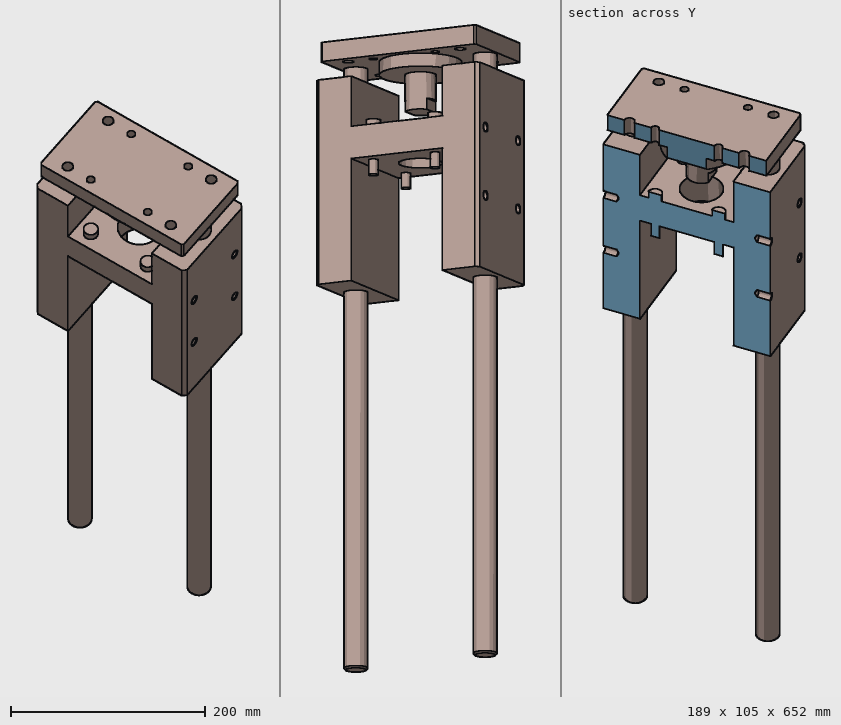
import cadquery as cq
import math

TOTAL_HEIGHT = 652.0
HOLE_PITCH = 72.0
HALF_PITCH = HOLE_PITCH / 2

PLATE_LENGTH = 180.0
PLATE_WIDTH = 100.0
PLATE_THICKNESS = 20.0
PLATE_CHAMFER = 2.0
PLATE_INNER_HOLE_DIAMETER = 8.5
PLATE_OUTER_HOLE_DIAMETER = 11.0
PLATE_OUTER_HOLE_SPACING = 130.0
ROD_DIAMETER = 25.0
ROD_SPACING = 150.0
ROD_CHAMFER = 2.0
FLANGE_DIAMETER = 85.0
FLANGE_THICKNESS = 14.0
COLLAR_DIAMETER = 32.0
COLLAR_LENGTH = 39.0
COLLAR_FLATS_WIDTH = 25.0
COLLAR_FLATS_LENGTH = 12.0

HOUSING_LENGTH = 189.0
HOUSING_WIDTH = 105.0
HOUSING_HEIGHT = 215.0
HOUSING_TOP = -40.0
HOUSING_CHAMFER = 4.0
LEG_GAP = 105.5
WEB_TOP = -92.5
WEB_THICKNESS = 34.0
WEB_BORE_DIAMETER = 45.0
SCREW_HEAD_DIAMETER = 15.0
SCREW_HEAD_HEIGHT = 8.0
SCREW_SHANK_DIAMETER = 10.0
SCREW_PROJECTION = 15.5
SIDE_HOLE_DIAMETER = 8.5
SIDE_HOLE_MOUTH_DIAMETER = 10.0
SIDE_HOLE_DEPTH = 15.0
SIDE_HOLE_TOP = -105.5
DRILL_POINT_ANGLE = 118.0

HOUSING_BOTTOM = HOUSING_TOP - HOUSING_HEIGHT
WEB_BOTTOM = WEB_TOP - WEB_THICKNESS
ROD_POINTS = [(-ROD_SPACING / 2, 0), (ROD_SPACING / 2, 0)]


def cylinders(points, diameter, top, bottom):
    """Vertical cylinders at the XY points, from top down to bottom."""
    base = cq.Workplane().workplane(offset=bottom)
    return base.pushPoints(points).circle(diameter / 2).extrude(top - bottom)


def rectangle_points(length, width):
    """The four corners of a centred rectangle."""
    return [(x * length / 2, y * width / 2) for x in (-1, 1) for y in (-1, 1)]


def block(length, width, top, bottom):
    """A centred block between two heights."""
    return cq.Workplane().workplane(offset=bottom).rect(length, width).extrude(top - bottom)


def make_collar(top):
    """Round collar whose lower end is narrowed by two flats facing -X and +X."""
    bottom = top - COLLAR_LENGTH
    flats_top = bottom + COLLAR_FLATS_LENGTH
    collar = cylinders([(0, 0)], COLLAR_DIAMETER, top, bottom)
    above_flats = block(COLLAR_DIAMETER, COLLAR_DIAMETER, top, flats_top)
    between_flats = block(COLLAR_FLATS_WIDTH, COLLAR_DIAMETER, flats_top, bottom)
    return collar.intersect(above_flats.union(between_flats))


def make_slide():
    """End plate with the guide rods and the piston coupling below it."""
    plate = block(PLATE_LENGTH, PLATE_WIDTH, 0, -PLATE_THICKNESS).edges("|Z").chamfer(PLATE_CHAMFER)
    inner_points = rectangle_points(HOLE_PITCH, HOLE_PITCH)
    outer_points = rectangle_points(PLATE_OUTER_HOLE_SPACING, HOLE_PITCH)
    plate = plate.cut(cylinders(inner_points, PLATE_INNER_HOLE_DIAMETER, 0, -PLATE_THICKNESS))
    plate = plate.cut(cylinders(outer_points, PLATE_OUTER_HOLE_DIAMETER, 0, -PLATE_THICKNESS))

    rods = cylinders(ROD_POINTS, ROD_DIAMETER, -PLATE_THICKNESS, -TOTAL_HEIGHT)
    slide = plate.union(rods.faces("<Z").chamfer(ROD_CHAMFER))

    flange_bottom = -PLATE_THICKNESS - FLANGE_THICKNESS
    flange = cylinders([(0, 0)], FLANGE_DIAMETER, -PLATE_THICKNESS, flange_bottom)
    return slide.union(flange).union(make_collar(flange_bottom))


def side_hole(side, y, z):
    """A blind drilled hole with a chamfered mouth in the left (side = -1) or right (side = 1) face."""
    radius = SIDE_HOLE_DIAMETER / 2
    point_length = radius / math.tan(math.radians(DRILL_POINT_ANGLE / 2))
    entry = cq.Vector(side * HOUSING_LENGTH / 2, y, z)
    inward = cq.Vector(-side, 0, 0)
    bore = cq.Solid.makeCylinder(radius, SIDE_HOLE_DEPTH, entry, inward)
    point = cq.Solid.makeCone(radius, 0, point_length, entry + inward * SIDE_HOLE_DEPTH, inward)
    mouth_radius = SIDE_HOLE_MOUTH_DIAMETER / 2
    mouth = cq.Solid.makeCone(mouth_radius, radius, mouth_radius - radius, entry, inward)
    return bore.fuse(point, mouth)


def make_housing():
    """H-shaped block with guide bores, a piston bore, side holes and web screws."""
    housing = block(HOUSING_LENGTH, HOUSING_WIDTH, HOUSING_TOP, HOUSING_BOTTOM)
    housing = housing.edges("|Z").chamfer(HOUSING_CHAMFER)
    housing = housing.cut(block(LEG_GAP, HOUSING_WIDTH, HOUSING_TOP, WEB_TOP))
    housing = housing.cut(block(LEG_GAP, HOUSING_WIDTH, WEB_BOTTOM, HOUSING_BOTTOM))

    housing = housing.cut(cylinders(ROD_POINTS, ROD_DIAMETER, HOUSING_TOP, HOUSING_BOTTOM))
    housing = housing.cut(cylinders([(0, 0)], WEB_BORE_DIAMETER, WEB_TOP, WEB_BOTTOM))

    for side in (-1, 1):
        for y in (-HALF_PITCH, HALF_PITCH):
            for z in (SIDE_HOLE_TOP, SIDE_HOLE_TOP - HOLE_PITCH):
                housing = housing.cut(cq.Workplane(side_hole(side, y, z)))

    screw_points = rectangle_points(HOLE_PITCH, HOLE_PITCH)
    heads = cylinders(screw_points, SCREW_HEAD_DIAMETER, WEB_TOP + SCREW_HEAD_HEIGHT, WEB_TOP)
    shanks = cylinders(screw_points, SCREW_SHANK_DIAMETER, WEB_BOTTOM, WEB_BOTTOM - SCREW_PROJECTION)
    return housing.union(heads).union(shanks)


housing = make_housing()
slide = make_slide()
result = cq.Compound.makeCompound([housing.val(), slide.val()])